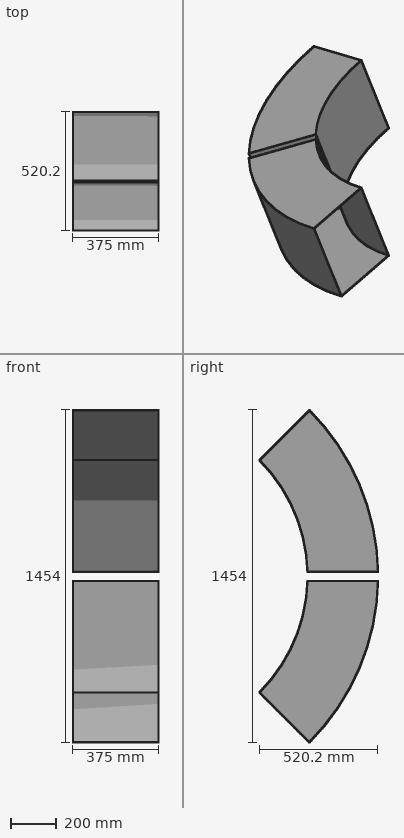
import cadquery as cq
import math

total_height = 1454.0
width = 375.0
radial_depth = 310.0
wall = 1.0
gap = 39.0
end_angle = math.radians(45)

outer_radius = total_height / 2 / math.sin(end_angle)
inner_radius = outer_radius - radial_depth


def arc_point(radius, angle):
    """Point in the YZ plane, with the arc centre at the origin."""
    return (radius * math.cos(angle), radius * math.sin(angle))


def make_bend(small_radius, large_radius, bend_width):
    """Solid bend from a flat face at the gap to a radial face at the end angle."""
    small_start = math.asin(gap / 2 / small_radius)
    large_start = math.asin(gap / 2 / large_radius)
    return (
        cq.Workplane("YZ")
        .moveTo(*arc_point(small_radius, small_start))
        .lineTo(*arc_point(large_radius, large_start))
        .threePointArc(
            arc_point(large_radius, (large_start + end_angle) / 2),
            arc_point(large_radius, end_angle),
        )
        .lineTo(*arc_point(small_radius, end_angle))
        .threePointArc(
            arc_point(small_radius, (small_start + end_angle) / 2),
            arc_point(small_radius, small_start),
        )
        .close()
        .extrude(bend_width / 2, both=True)
    )


def make_duct_segment():
    """Upper rectangular duct bend, open at both ends."""
    outside = make_bend(inner_radius, outer_radius, width)
    passage = make_bend(inner_radius + wall, outer_radius - wall, width - 2 * wall)
    return outside.cut(passage)


upper_duct = make_duct_segment()
lower_duct = upper_duct.mirror("XY")

result = cq.Compound.makeCompound([upper_duct.val(), lower_duct.val()])